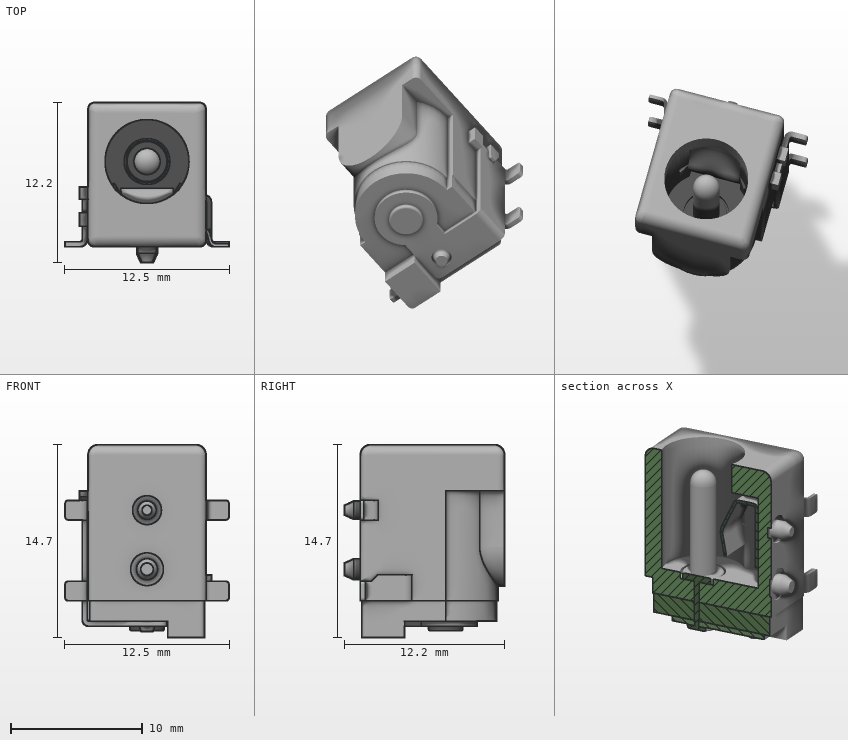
import cadquery as cq
import math

HALF_WIDTH = 4.5
BACK_Y = 4.5
FRONT_Y = -6.5
TOP_Z = 14.7
HEAD_Z = 11.17
SEAM_Z = 2.8
TOP_ROUND = 0.8
CORNER_ROUND = 0.5
BARREL_R = 4.0
TONGUE_R = 3.05
TONGUE_Z = 6.94

SOCKET_D = 6.4
SOCKET_FLOOR_Z = 5.0
COUNTERBORE_D = 3.5
COUNTERBORE_DEPTH = 0.5
SPRING_BAY_TOP_Z = 12.35

PEGS = [
    (9.7, 1.4, 0.75, 2.2, 0.3),
    (5.2, 1.6, 0.95, 2.5, 0.1),
]
PEG_STRAIGHT = 0.5
PEG_LENGTH = 1.2

COVER_INSET = 0.1
COVER_Z = 1.25
CORNER_BLOCK_X = 1.57
CORNER_BLOCK_Y = -3.12
STAKE_Y = -4.45
STAKE_D = 1.55
STAKE_TIP_D = 0.9
STAKE_LENGTH = 0.8

FOOT_TIP_X = 6.25
FOOT_WIDTH = 1.5
FOOT_CORNER = 0.25
UPPER_FOOT_Z = 9.7
LOWER_FOOT_Z = SEAM_Z + FOOT_WIDTH / 2

PLATE = 0.4
PLATE_BEND = 0.1
FOOT_BEND = 0.16
LEFT_WALL_X = -4.94
LEFT_WALL_FRONT_Y = -5.91
LEFT_WALL_BACK_Y = -2.88
LEFT_WALL_TOP_Z = UPPER_FOOT_Z + FOOT_WIDTH / 2
LOBE_R = 2.4
NECK_HALF_WIDTH = 1.5
WALL_CORNER_ROUND = 0.3

HOOK_X = -5.15
HOOK_BOTTOM_Z = 9.58
REAR_HOOK_Y = (LEFT_WALL_BACK_Y, -1.93)
FRONT_HOOK_Y = (-4.94, -3.9)
FRONT_HOOK_TIP_Y = -4.45
FRONT_HOOK_SHOULDER_Z = 10.72
HOOK_CHAMFER = 0.13
NOTCH_BOTTOM_Z = 9.38
NOTCH_BOTTOM_Y = -4.55
NOTCH_TOP_Y = -4.91

PIN_D = 2.0
PIN_DOME_Z = 12.26
FLANGE_D = 3.2
FLANGE_TOP_D = 3.05
SHANK_D = 2.1
RIVET_D = 2.6
RIVET_HEIGHT = 0.34
RIVET_ROUND = 0.15

SWITCH_WALL_X = 4.91
SWITCH_TOP_Z = 4.78
SWITCH_BACK_Y = -2.55
SWITCH_SHOULDER_Y = -5.17
SWITCH_TAIL_X = 3.5
SHOULDER_CHAMFER = SWITCH_TOP_Z - (LOWER_FOOT_Z + FOOT_WIDTH / 2)

SPRING = 0.25
SPRING_HALF_WIDTH = 2.0
SPRING_BACK_Y = -5.22
SPRING_BOTTOM_Z = 6.62
SPRING_TOP_Z = 11.76
RAMP_TOP_Y = -3.43
CREST_Y = -1.98
CREST_Z = 9.11
LEG_Y = -2.5
LEG_BOTTOM_Z = 7.05
SPRING_BEND = 0.22
CREST_BEND = 1.18
SPRING_FOOT_BEND = 0.26
WING_ROOT = (-1.98, -2.65)
WING_TIP = (-2.57, -1.72)
WING_THICKNESS = 0.18
WING_TOP_Z = 8.53
SPRING_LEG_X = (4.62, 4.92)


def box(x0, x1, y0, y1, z0, z1):
    return cq.Workplane("XY").box(x1 - x0, y1 - y0, z1 - z0, centered=False).translate((x0, y0, z0))


def cylinder(diameter, z0, z1):
    return cq.Workplane("XY").workplane(offset=z0).circle(diameter / 2).extrude(z1 - z0)


def offset_points(path, offset):
    """Corner points of a path moved sideways, with mitred corners."""
    headings = [
        math.atan2(end[1] - start[1], end[0] - start[0])
        for start, end in zip(path, path[1:])
    ]
    arriving = [headings[0]] + headings
    leaving = headings + [headings[-1]]
    points = []
    for (x, y), before, after in zip(path, arriving, leaving):
        middle = (before + after) / 2
        reach = offset / math.cos((after - before) / 2)
        points.append((x - reach * math.sin(middle), y + reach * math.cos(middle)))
    return points


def bent_strip(plane, path, thickness, start, width, bends):
    """Sheet along a path in a named plane, with an inside radius for each bend in turn."""
    left = offset_points(path, thickness / 2)
    right = offset_points(path, -thickness / 2)
    work = cq.Workplane(plane).workplane(offset=start)
    strip = work.polyline(left + right[::-1]).close().extrude(width)
    for index, bend in enumerate(bends, start=1):
        (x0, y0), (x1, y1), (x2, y2) = path[index - 1:index + 2]
        turns_left = (x1 - x0) * (y2 - y1) - (y1 - y0) * (x2 - x1) > 0
        inner, outer = (left, right) if turns_left else (right, left)
        for point, radius in ((inner[index], bend), (outer[index], bend + thickness)):
            corner = work.plane.toWorldCoords((*point, width / 2))
            strip = strip.edges(cq.selectors.NearestToPointSelector(corner.toTuple())).fillet(radius)
    return strip


def foot(path, thickness, middle_z, bends):
    """Soldering foot bent in plan, with rounded corners at its tip (the end of the path)."""
    strip = bent_strip("XY", path, thickness, middle_z - FOOT_WIDTH / 2, FOOT_WIDTH, bends)
    tip = ">X" if path[-1][0] > 0 else "<X"
    return strip.faces(tip).edges("|Y").fillet(FOOT_CORNER)


def make_pin():
    flange_bottom = SOCKET_FLOOR_Z - COUNTERBORE_DEPTH
    rivet_top = COVER_Z - PLATE
    contact = cylinder(PIN_D, SOCKET_FLOOR_Z, PIN_DOME_Z)
    dome = cq.Workplane("XY").sphere(PIN_D / 2).translate((0, 0, PIN_DOME_Z))
    flange = cylinder(FLANGE_D, flange_bottom, SOCKET_FLOOR_Z)
    flange = flange.faces(">Z").chamfer((FLANGE_D - FLANGE_TOP_D) / 2)
    shank = cylinder(SHANK_D, rivet_top, flange_bottom)
    rivet = cylinder(RIVET_D, rivet_top - RIVET_HEIGHT, rivet_top).faces("<Z").edges().fillet(RIVET_ROUND)
    return contact.union(dome).union(flange).union(shank).union(rivet)


def make_centre_terminal():
    wall_mid_x = LEFT_WALL_X + PLATE / 2
    base_mid_z = COVER_Z - PLATE / 2
    depth = LEFT_WALL_BACK_Y - LEFT_WALL_FRONT_Y
    wall_path = [
        (wall_mid_x, LEFT_WALL_TOP_Z),
        (wall_mid_x, base_mid_z),
        (NECK_HALF_WIDTH, base_mid_z),
    ]
    terminal = bent_strip("XZ", wall_path, PLATE, -LEFT_WALL_BACK_Y, depth, [PLATE_BEND])
    terminal = terminal.edges("|Z and >X and <Y").fillet(CORNER_ROUND)

    neck = box(-NECK_HALF_WIDTH, NECK_HALF_WIDTH, LEFT_WALL_BACK_Y, 0, COVER_Z - PLATE, COVER_Z)
    lobe = cylinder(2 * LOBE_R, COVER_Z - PLATE, COVER_Z)
    terminal = terminal.union(neck).union(lobe)

    top = LEFT_WALL_TOP_Z
    notch_back_y = FRONT_HOOK_Y[1]
    notch = [
        (notch_back_y, top),
        (notch_back_y, NOTCH_BOTTOM_Z),
        (NOTCH_BOTTOM_Y, NOTCH_BOTTOM_Z),
        (NOTCH_TOP_Y, top),
    ]
    notch_side = cq.Workplane("YZ").workplane(offset=LEFT_WALL_X)
    terminal = terminal.cut(notch_side.polyline(notch).close().extrude(PLATE))
    for corner_y in (LEFT_WALL_BACK_Y, notch_back_y, NOTCH_TOP_Y):
        corner = cq.selectors.NearestToPointSelector((wall_mid_x, corner_y, top))
        terminal = terminal.edges(corner).fillet(WALL_CORNER_ROUND)

    foot_path = [
        (wall_mid_x, LEFT_WALL_FRONT_Y + PLATE),
        (wall_mid_x, FRONT_Y + PLATE / 2),
        (-FOOT_TIP_X, FRONT_Y + PLATE / 2),
    ]
    for middle_z in (UPPER_FOOT_Z, LOWER_FOOT_Z):
        terminal = terminal.union(foot(foot_path, PLATE, middle_z, [FOOT_BEND]))

    pin_hole = cylinder(SHANK_D, COVER_Z - PLATE, COVER_Z)
    stake_hole = cylinder(STAKE_D, COVER_Z - PLATE, COVER_Z).translate((0, STAKE_Y, 0))
    return terminal.cut(pin_hole).cut(stake_hole)


def make_switch_terminal():
    mid_x = SWITCH_WALL_X - PLATE / 2
    tail_y = SWITCH_BACK_Y - PLATE / 2
    wall_path = [(SWITCH_TAIL_X, tail_y), (mid_x, tail_y), (mid_x, SWITCH_SHOULDER_Y - SHOULDER_CHAMFER)]
    wall = bent_strip("XY", wall_path, PLATE, SEAM_Z, SWITCH_TOP_Z - SEAM_Z, [FOOT_BEND])
    wall = wall.edges("|X and <Y and >Z").chamfer(SHOULDER_CHAMFER)
    foot_path = [
        (mid_x, SWITCH_SHOULDER_Y),
        (mid_x, FRONT_Y + PLATE / 2),
        (FOOT_TIP_X, FRONT_Y + PLATE / 2),
    ]
    return wall.union(foot(foot_path, PLATE, LOWER_FOOT_Z, [FOOT_BEND]))


def make_spring_contact():
    blade_path = [
        (SPRING_BACK_Y, SPRING_BOTTOM_Z),
        (SPRING_BACK_Y, SPRING_TOP_Z),
        (RAMP_TOP_Y, SPRING_TOP_Z),
        (CREST_Y - SPRING / 2, CREST_Z),
        (LEG_Y, LEG_BOTTOM_Z),
    ]
    blade_bends = [SPRING_BEND, SPRING_BEND, CREST_BEND]
    spring = bent_strip("YZ", blade_path, SPRING, -SPRING_HALF_WIDTH, 2 * SPRING_HALF_WIDTH, blade_bends)

    wing_height = WING_TOP_Z - LEG_BOTTOM_Z
    wing = bent_strip("XY", [WING_ROOT, WING_TIP], WING_THICKNESS, LEG_BOTTOM_Z, wing_height, [])
    spring = spring.union(wing).union(wing.mirror("YZ"))

    foot_y = FRONT_Y + SPRING / 2
    foot_path = [
        (0, SPRING_BACK_Y),
        (SPRING_LEG_X[0], SPRING_BACK_Y),
        (SPRING_LEG_X[1], foot_y),
        (FOOT_TIP_X, foot_y),
    ]
    return spring.union(foot(foot_path, SPRING, UPPER_FOOT_Z, [SPRING_FOOT_BEND] * 2))


def make_shell():
    head = box(-HALF_WIDTH, HALF_WIDTH, FRONT_Y, BACK_Y, HEAD_Z, TOP_Z)
    body = box(-HALF_WIDTH, HALF_WIDTH, FRONT_Y, 0, SEAM_Z, HEAD_Z)
    shell = head.union(body).faces(">Z").edges().fillet(TOP_ROUND)
    shell = shell.edges("|Z and (<Y or >Y)").fillet(CORNER_ROUND)
    barrel = cylinder(2 * BARREL_R, SEAM_Z, HEAD_Z)
    tongue = box(-TONGUE_R, TONGUE_R, 0, BACK_Y, TONGUE_Z, HEAD_Z)
    tongue_end = cq.Workplane("XZ").center(0, TONGUE_Z).circle(TONGUE_R).extrude(-BACK_Y)
    return shell.union(barrel).union(tongue).union(tongue_end)


def make_hooks():
    top = HEAD_Z
    bottom = HOOK_BOTTOM_Z
    rear = [(y, z) for y, z in zip(REAR_HOOK_Y + REAR_HOOK_Y[::-1], (top, top, bottom, bottom))]
    front = [
        (FRONT_HOOK_Y[0], top),
        (FRONT_HOOK_Y[1], top),
        (FRONT_HOOK_Y[1], bottom + HOOK_CHAMFER),
        (FRONT_HOOK_Y[1] - HOOK_CHAMFER, bottom),
        (FRONT_HOOK_TIP_Y, bottom),
        (FRONT_HOOK_Y[0], FRONT_HOOK_SHOULDER_Z),
    ]
    return [
        cq.Workplane("YZ").workplane(offset=HOOK_X).polyline(outline).close().extrude(-HALF_WIDTH - HOOK_X)
        for outline in (rear, front)
    ]


def make_peg(middle_z, diameter, tip_diameter, relief_depth):
    root_y = FRONT_Y + relief_depth
    profile = [
        (0, root_y),
        (diameter / 2, root_y),
        (diameter / 2, FRONT_Y - PEG_STRAIGHT),
        (tip_diameter / 2, FRONT_Y - PEG_LENGTH),
        (0, FRONT_Y - PEG_LENGTH),
    ]
    peg = cq.Workplane("XY").polyline(profile).close().revolve(360, (0, 0, 0), (0, 1, 0))
    return peg.translate((0, 0, middle_z))


def make_housing(inserts):
    housing = make_shell()
    for hook in make_hooks():
        housing = housing.union(hook)

    counterbore_z = SOCKET_FLOOR_Z - COUNTERBORE_DEPTH
    housing = housing.cut(cylinder(SOCKET_D, SOCKET_FLOOR_Z, TOP_Z))
    housing = housing.cut(cylinder(COUNTERBORE_D, counterbore_z, SOCKET_FLOOR_Z))
    spring_bay = box(
        -SPRING_HALF_WIDTH, SPRING_HALF_WIDTH,
        SPRING_BACK_Y - SPRING / 2, CREST_Y,
        SOCKET_FLOOR_Z, SPRING_BAY_TOP_Z,
    )
    housing = housing.cut(spring_bay)

    for middle_z, diameter, tip_diameter, relief_diameter, relief_depth in PEGS:
        relief = cq.Workplane("XZ", origin=(0, FRONT_Y, middle_z))
        housing = housing.cut(relief.circle(relief_diameter / 2).extrude(-relief_depth))
        housing = housing.union(make_peg(middle_z, diameter, tip_diameter, relief_depth))

    for insert in inserts:
        housing = housing.cut(insert)
    return housing


def make_cover():
    half_width = HALF_WIDTH - COVER_INSET
    front_y = FRONT_Y + COVER_INSET
    corner_round = CORNER_ROUND - COVER_INSET
    slab = box(-half_width, half_width, front_y, 0, COVER_Z, SEAM_Z)
    slab = slab.edges("|Z and <Y").fillet(corner_round)
    block = box(CORNER_BLOCK_X, half_width, front_y, CORNER_BLOCK_Y, 0, COVER_Z)
    block = block.edges("|Z and >X and <Y").fillet(corner_round)
    cover = slab.union(block)
    cover = cover.union(cylinder(2 * (BARREL_R - COVER_INSET), COVER_Z, SEAM_Z))

    stake = cq.Workplane("XY", origin=(0, STAKE_Y, COVER_Z)).circle(STAKE_D / 2)
    stake = stake.workplane(offset=-STAKE_LENGTH).circle(STAKE_TIP_D / 2).loft()
    return cover.union(stake).cut(cylinder(SHANK_D, COVER_Z, SEAM_Z))


pin = make_pin()
centre_terminal = make_centre_terminal()
switch_terminal = make_switch_terminal()
spring_contact = make_spring_contact()
housing = make_housing([pin, switch_terminal, spring_contact])
cover = make_cover()

result = cq.Compound.makeCompound([
    housing.val(),
    cover.val(),
    pin.val(),
    centre_terminal.val(),
    switch_terminal.val(),
    spring_contact.val(),
])